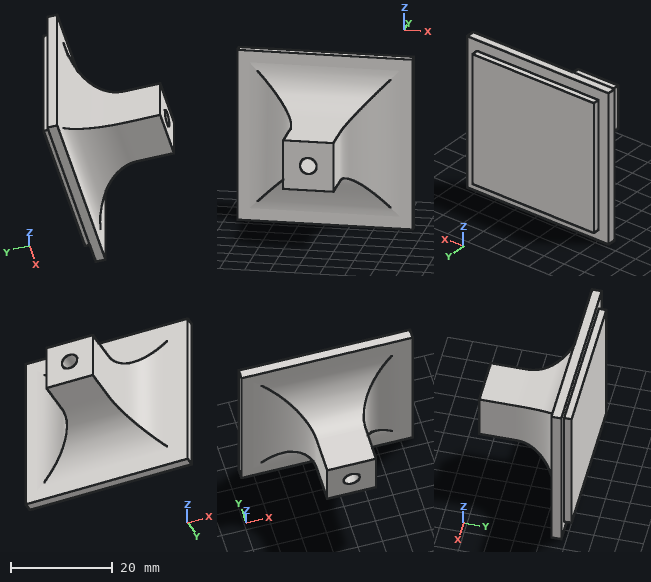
import cadquery as cq
import math

plate_side = 35.0
plate_thickness = 2.0
pad_thickness = 1.5

stem_side = 10.0
flare_radius = 10.0
stem_length = 7.5
pad_side = stem_side + 2 * flare_radius

hole_diameter = 3.3
hole_depth = 10.0
drill_tip_angle = 118.0

flare_end = -flare_radius
stem_end = flare_end - stem_length


def square_block(side, start, end):
    """Square block centred on the Y axis, between two Y positions."""
    return cq.Workplane("XY").box(side, end - start, side).translate((0, (start + end) / 2, 0))


def flared_prism():
    """Stem outline with a quarter-circle flare on each side, extruded along Z."""
    half_stem = stem_side / 2
    half_foot = half_stem + flare_radius
    arc_offset = flare_radius * (1 - math.sqrt(0.5))
    arc_x = half_stem + arc_offset
    arc_y = -arc_offset
    return (
        cq.Workplane("XY")
        .moveTo(-half_stem, stem_end)
        .lineTo(half_stem, stem_end)
        .lineTo(half_stem, flare_end)
        .threePointArc((arc_x, arc_y), (half_foot, 0))
        .lineTo(-half_foot, 0)
        .threePointArc((-arc_x, arc_y), (-half_stem, flare_end))
        .close()
        .extrude(half_foot, both=True)
    )


def drilled_hole():
    """Round hole with a conical bottom, entering from the stem end."""
    radius = hole_diameter / 2
    bottom = stem_end + hole_depth
    tip = bottom + radius / math.tan(math.radians(drill_tip_angle / 2))
    return (
        cq.Workplane("XY")
        .polyline([(0, stem_end), (radius, stem_end), (radius, bottom), (0, tip)])
        .close()
        .revolve(360, (0, 0, 0), (0, 1, 0))
    )


plate = square_block(plate_side, 0, plate_thickness)
pad = square_block(pad_side, plate_thickness, plate_thickness + pad_thickness)

prism = flared_prism()
stem = prism.intersect(prism.rotate((0, 0, 0), (0, 1, 0), 90))

result = plate.union(pad).union(stem).cut(drilled_hole())